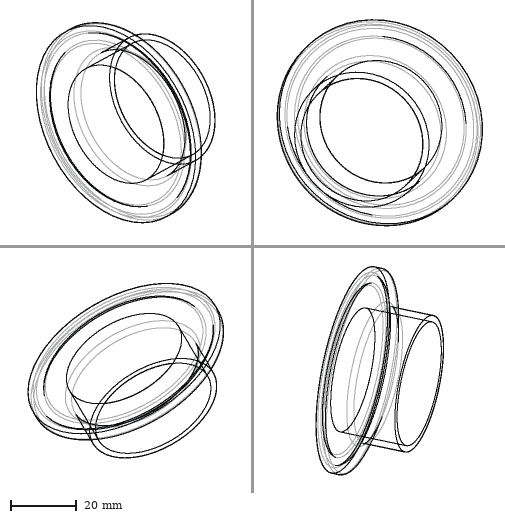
import cadquery as cq
import math

length = 21.5
bore_radius = 19.2
tube_radius = 21.2
flange_radius = 32.0

cone_angle = math.radians(20)
cone_foot = 2.95
rim_rounding = 0.8
neck_rounding = 1.9

groove_inner_radius = 26.25
groove_outer_radius = 30.3
groove_depth = 1.6
groove_lip_rounding = 0.8

front = -length / 2
back = length / 2
cone_top = cone_foot + (flange_radius - tube_radius) * math.tan(cone_angle)


def circle_at_height(height):
    """Selector for the circular edges lying at a height above the sealing face."""
    reach = 2 * flange_radius
    tolerance = 0.03
    return cq.selectors.BoxSelector(
        (-reach, front + height - tolerance, -reach),
        (reach, front + height + tolerance, reach),
        boundingbox=True,
    )


def flange_and_tube():
    """Revolved body, with the cone blended into the rim and the tube."""
    profile = (
        cq.Workplane("XY")
        .moveTo(bore_radius, front)
        .lineTo(flange_radius, front)
        .lineTo(flange_radius, front + cone_foot)
        .lineTo(tube_radius, front + cone_top)
        .lineTo(tube_radius, back)
        .lineTo(bore_radius, back)
        .close()
    )
    body = profile.revolve(360, (0, 0, 0), (0, 1, 0))
    body = body.edges(circle_at_height(cone_foot)).fillet(rim_rounding)
    return body.edges(circle_at_height(cone_top)).fillet(neck_rounding)


def gasket_groove():
    """Ring with a round bottom, joined to the sealing face by tangent rounded lips."""
    middle_radius = (groove_inner_radius + groove_outer_radius) / 2
    half_width = (groove_outer_radius - groove_inner_radius) / 2
    wall_angle = 2 * math.atan(groove_depth / half_width)
    lip_width = groove_lip_rounding * math.sin(wall_angle)
    lip_depth = groove_lip_rounding * (1 - math.cos(wall_angle))
    lip_mid_width = groove_lip_rounding * math.sin(wall_angle / 2)
    lip_mid_depth = groove_lip_rounding * (1 - math.cos(wall_angle / 2))
    profile = (
        cq.Workplane("XY")
        .moveTo(groove_inner_radius, front)
        .threePointArc(
            (groove_inner_radius + lip_mid_width, front + lip_mid_depth),
            (groove_inner_radius + lip_width, front + lip_depth),
        )
        .threePointArc(
            (middle_radius, front + groove_depth),
            (groove_outer_radius - lip_width, front + lip_depth),
        )
        .threePointArc(
            (groove_outer_radius - lip_mid_width, front + lip_mid_depth),
            (groove_outer_radius, front),
        )
        .close()
    )
    return profile.revolve(360, (0, 0, 0), (0, 1, 0))


result = flange_and_tube().cut(gasket_groove())